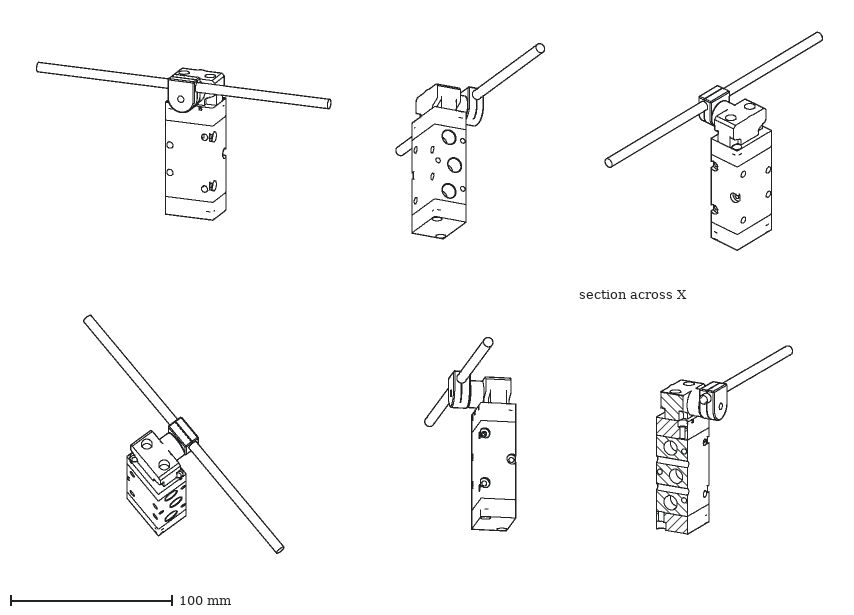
import cadquery as cq
STACK_LEFT = -17.0
STACK_RIGHT = 15.0
STACK_DEPTH = 22.0
CAP_HEIGHT = 11.7
BODY_HEIGHT = 50.0
STACK_ROUND = 0.4
STACK_WIDTH = STACK_RIGHT - STACK_LEFT
STACK_MID_X = (STACK_RIGHT + STACK_LEFT) / 2
BODY_MID_Z = CAP_HEIGHT + BODY_HEIGHT / 2
BODY_TOP = CAP_HEIGHT + BODY_HEIGHT
CAP_TOP = BODY_TOP + CAP_HEIGHT

MOUNT_DIAMETER = 4.0
MOUNT_LEFT_X = -13.8
MOUNT_LEFT_SPREAD = 9.0
MOUNT_RIGHT_X = 9.4
MOUNT_RIGHT_SPREAD = 17.0

CROSS_DIAMETER = 3.1
CROSS_BORE_DIAMETER = 6.5
CROSS_BORE_DEPTH = 2.3
FRONT_CROSS_Y = -8.5
BACK_CROSS_Y = 8.5
CROSS_MID_Z = 37.8
CROSS_SPREAD = 16.0

PORT_DIAMETER = 9.0
PORT_CHAMFER = 0.4
PORT_DEPTH = 11.7
PORT_PITCH = 18.0
OUTER_PORT_Y = 1.0
MIDDLE_PORT_Y = -3.0

SCREW_EDGE_X = 3.5
SCREW_EDGE_Y = 3.5
SCREW_DIAMETER = 3.3
SCREW_HEAD_DIAMETER = 6.0
UPPER_SCREW_HEAD_DEPTH = 4.0
LOWER_SCREW_HEAD_DEPTH = 5.0

POCKET_X = 6.5
POCKET_WIDTH = 1.8
POCKET_DEPTH = 1.2
POCKET_TOP_GAP = 0.5
POCKET_MOUTH_HEIGHT = 1.8
POCKET_BACK_HEIGHT = 1.2

HEAD_WIDTH = 2 * STACK_RIGHT
HEAD_DEPTH = 16.0
HEAD_HEIGHT = 17.0
HEAD_CHAMFER = 1.8
HEAD_HOLE_DIAMETER = 6.6
HEAD_HOLE_X = 8.8
HEAD_HOLE_DEPTH = 7.8
NOTCH_DEPTH = 3.0
NOTCH_INNER_X = 8.0
NOTCH_INNER_HEIGHT = 4.0
NOTCH_OUTER_HEIGHT = 7.0
NOTCH_FILLET = 2.0
BOSS_DIAMETER = 17.0
BOSS_END_Y = -16.2
PIVOT_Z = CAP_TOP + 9.0

OVERALL_DEPTH = 38.2
CLAMP_WIDTH = 18.0
CLAMP_TOP = 94.5
CLAMP_BACK_Y = -16.5
CLAMP_FRONT_Y = STACK_DEPTH / 2 - OVERALL_DEPTH
CLAMP_CHAMFER = 0.68
SLIT_WIDTH = 0.4
SLIT_BOTTOM = CAP_TOP + 2.0
ROD_LENGTH = 195.0
ROD_DIAMETER = 6.0
ROD_Y = -22.2
ROD_Z = CAP_TOP + 16.4
PIN_DIAMETER = 4.0


def stack_block(bottom, height):
    """Plain block with the footprint of the valve stack."""
    block = cq.Workplane("XY").box(STACK_WIDTH, STACK_DEPTH, height, centered=(True, True, False))
    block = block.edges("|Z").fillet(STACK_ROUND)
    return block.translate((STACK_MID_X, 0, bottom))


def rod_along(axis, start, diameter, length):
    """Cylinder from the point `start`, running `length` along the direction `axis`."""
    return cq.Workplane(cq.Solid.makeCylinder(diameter / 2, length, cq.Vector(start), cq.Vector(axis)))


def screw_hole(x, y, face_z, inward, head_depth):
    """Counterbored hole through a cap, entered at `face_z`; `inward` is +1 for up, -1 for down."""
    axis = (0, 0, inward)
    start = (x, y, face_z)
    hole = rod_along(axis, start, SCREW_DIAMETER, CAP_HEIGHT)
    return hole.union(rod_along(axis, start, SCREW_HEAD_DIAMETER, head_depth))


def cut_screw_holes(cap, face_z, inward, head_depth, left_side):
    """Two holes at opposite corners; `left_side` is the Y side of the hole near the -X face."""
    y = STACK_DEPTH / 2 - SCREW_EDGE_Y
    left = screw_hole(STACK_LEFT + SCREW_EDGE_X, left_side * y, face_z, inward, head_depth)
    right = screw_hole(STACK_RIGHT - SCREW_EDGE_X, -left_side * y, face_z, inward, head_depth)
    return cap.cut(left).cut(right)


def make_lower_cap():
    cap = stack_block(0, CAP_HEIGHT)
    return cut_screw_holes(cap, 0, 1, LOWER_SCREW_HEAD_DEPTH, 1)


def make_upper_cap():
    cap = stack_block(BODY_TOP, CAP_HEIGHT)
    cap = cut_screw_holes(cap, CAP_TOP, -1, UPPER_SCREW_HEAD_DEPTH, -1)
    front_y = -STACK_DEPTH / 2
    back_y = front_y + POCKET_DEPTH
    roof = CAP_TOP - POCKET_TOP_GAP
    pocket = (
        cq.Workplane("YZ")
        .polyline([
            (front_y, roof),
            (back_y, roof),
            (back_y, roof - POCKET_BACK_HEIGHT),
            (front_y, roof - POCKET_MOUTH_HEIGHT),
        ])
        .close()
        .extrude(POCKET_WIDTH / 2, both=True)
    )
    for x in (-POCKET_X, POCKET_X):
        cap = cap.cut(pocket.translate((x, 0, 0)))
    return cap


def make_valve_body():
    body = stack_block(CAP_HEIGHT, BODY_HEIGHT)

    for x, spread in ((MOUNT_LEFT_X, MOUNT_LEFT_SPREAD), (MOUNT_RIGHT_X, MOUNT_RIGHT_SPREAD)):
        for side in (-1, 1):
            start = (x, -STACK_DEPTH / 2, BODY_MID_Z + side * spread)
            body = body.cut(rod_along((0, 1, 0), start, MOUNT_DIAMETER, STACK_DEPTH))

    for y, offset in ((FRONT_CROSS_Y, -CROSS_SPREAD), (BACK_CROSS_Y, 0), (FRONT_CROSS_Y, CROSS_SPREAD)):
        start = (STACK_RIGHT, y, CROSS_MID_Z + offset)
        body = body.cut(rod_along((-1, 0, 0), start, CROSS_DIAMETER, STACK_WIDTH))
        body = body.cut(rod_along((-1, 0, 0), start, CROSS_BORE_DIAMETER, CROSS_BORE_DEPTH))

    for y, offset in ((OUTER_PORT_Y, -PORT_PITCH), (MIDDLE_PORT_Y, 0), (OUTER_PORT_Y, PORT_PITCH)):
        start = cq.Vector(STACK_LEFT, y, BODY_MID_Z + offset)
        body = body.cut(rod_along((1, 0, 0), start, PORT_DIAMETER, PORT_DEPTH))
        mouth = cq.Solid.makeCone(
            PORT_DIAMETER / 2 + PORT_CHAMFER, PORT_DIAMETER / 2, PORT_CHAMFER, start, cq.Vector(1, 0, 0)
        )
        body = body.cut(cq.Workplane(mouth))
    return body


def make_head():
    half = HEAD_WIDTH / 2

    right_side = [
        (NOTCH_INNER_X, 0),
        (NOTCH_INNER_X, NOTCH_INNER_HEIGHT),
        (half, NOTCH_OUTER_HEIGHT),
        (half, HEAD_HEIGHT - HEAD_CHAMFER),
        (half - HEAD_CHAMFER, HEAD_HEIGHT),
    ]
    left_side = [(-x, z) for x, z in reversed(right_side)]
    head = (
        cq.Workplane("XZ")
        .polyline(right_side + left_side)
        .close()
        .extrude(HEAD_DEPTH / 2, both=True)
    )
    roof_corners = cq.selectors.BoxSelector(
        (-HEAD_WIDTH, -HEAD_DEPTH, NOTCH_INNER_HEIGHT / 2),
        (HEAD_WIDTH, HEAD_DEPTH, NOTCH_OUTER_HEIGHT + NOTCH_INNER_HEIGHT / 2),
    )
    head = head.edges("|Y").edges(roof_corners).fillet(NOTCH_FILLET)

    middle = cq.Workplane("XY").box(
        HEAD_WIDTH, HEAD_DEPTH - 2 * NOTCH_DEPTH, HEAD_HEIGHT - HEAD_CHAMFER, centered=(True, True, False)
    )
    head = head.union(middle).translate((0, 0, CAP_TOP))

    boss_length = HEAD_DEPTH / 2 - BOSS_END_Y
    head = head.union(rod_along((0, -1, 0), (0, HEAD_DEPTH / 2, PIVOT_Z), BOSS_DIAMETER, boss_length))

    for x in (-HEAD_HOLE_X, HEAD_HOLE_X):
        start = (x, 0, CAP_TOP + HEAD_HEIGHT)
        head = head.cut(rod_along((0, 0, -1), start, HEAD_HOLE_DIAMETER, HEAD_HOLE_DEPTH))
    return head


def make_rod():
    return rod_along((1, 0, 0), (-ROD_LENGTH / 2, ROD_Y, ROD_Z), ROD_DIAMETER, ROD_LENGTH)


def make_washer():
    washer = rod_along((0, -1, 0), (0, BOSS_END_Y, PIVOT_Z), BOSS_DIAMETER, BOSS_END_Y - CLAMP_BACK_Y)
    return washer.cut(make_pin())


def make_pin():
    return rod_along((0, -1, 0), (0, BOSS_END_Y, PIVOT_Z), PIN_DIAMETER, BOSS_END_Y - CLAMP_FRONT_Y)


def make_clamp():
    half = CLAMP_WIDTH / 2
    clamp = (
        cq.Workplane("XZ", origin=(0, CLAMP_BACK_Y, 0))
        .moveTo(-half, CLAMP_TOP)
        .lineTo(half, CLAMP_TOP)
        .lineTo(half, PIVOT_Z)
        .threePointArc((0, PIVOT_Z - half), (-half, PIVOT_Z))
        .close()
        .extrude(CLAMP_BACK_Y - CLAMP_FRONT_Y)
    )
    clamp = clamp.edges("|Y and >Z").chamfer(CLAMP_CHAMFER)
    clamp = clamp.faces("<Y or >Y").edges().chamfer(CLAMP_CHAMFER)

    slit = cq.Workplane("XY").box(
        CLAMP_WIDTH, SLIT_WIDTH, CLAMP_TOP - SLIT_BOTTOM, centered=(True, True, False)
    )
    clamp = clamp.cut(slit.translate((0, ROD_Y, SLIT_BOTTOM)))
    return clamp.cut(make_rod()).cut(make_pin())


lower_cap = make_lower_cap()
valve_body = make_valve_body()
upper_cap = make_upper_cap()
head = make_head()
washer = make_washer()
clamp = make_clamp()
rod = make_rod()
pin = make_pin()

result = cq.Compound.makeCompound([
    lower_cap.val(),
    valve_body.val(),
    upper_cap.val(),
    head.val(),
    washer.val(),
    clamp.val(),
    rod.val(),
    pin.val(),
])